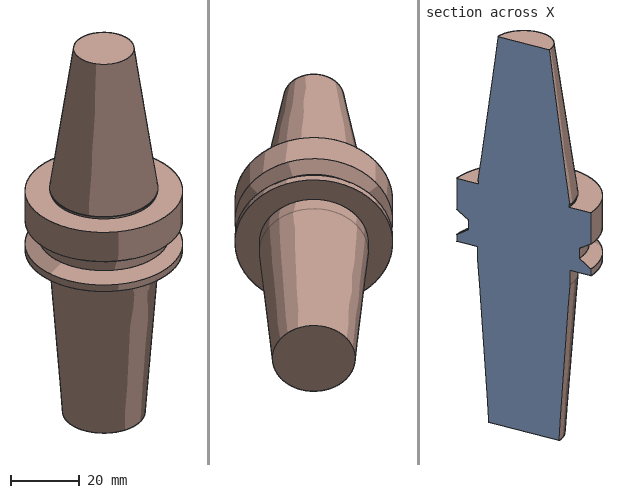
import cadquery as cq

total_length = 124.6

shank_tip_radius = 8.8
shank_base_radius = 15.8
shank_length = 48.1
relief_radius = 15.6
relief_length = 0.7

flange_diameter = 46.0
flange_radius = flange_diameter / 2
groove_radius = 19.1
upper_rim_height = 10.1
groove_upper_chamfer_height = 2.4
groove_floor_height = 3.1
groove_lower_chamfer_height = 2.5
lower_rim_height = 2.2

nose_diameter = 31.8
nose_radius = nose_diameter / 2
nose_collar_height = 4.5
nose_tip_radius = 12.1

shank_base_z = total_length - shank_length
flange_top_z = shank_base_z - relief_length
upper_rim_bottom_z = flange_top_z - upper_rim_height
groove_top_z = upper_rim_bottom_z - groove_upper_chamfer_height
groove_bottom_z = groove_top_z - groove_floor_height
lower_rim_top_z = groove_bottom_z - groove_lower_chamfer_height
flange_bottom_z = lower_rim_top_z - lower_rim_height
collar_bottom_z = flange_bottom_z - nose_collar_height

half_profile = [
    (0, total_length),
    (shank_tip_radius, total_length),
    (shank_base_radius, shank_base_z),
    (relief_radius, shank_base_z),
    (relief_radius, flange_top_z),
    (flange_radius, flange_top_z),
    (flange_radius, upper_rim_bottom_z),
    (groove_radius, groove_top_z),
    (groove_radius, groove_bottom_z),
    (flange_radius, lower_rim_top_z),
    (flange_radius, flange_bottom_z),
    (nose_radius, flange_bottom_z),
    (nose_radius, collar_bottom_z),
    (nose_tip_radius, 0),
    (0, 0),
]

result = cq.Workplane("XZ").polyline(half_profile).close().revolve(360, (0, 0), (0, 1))